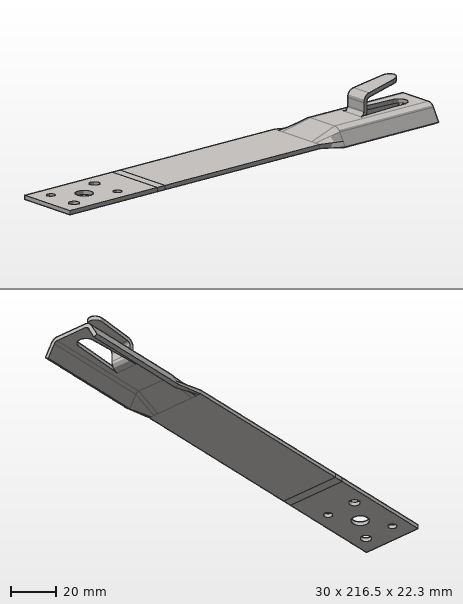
import cadquery as cq
import math

length = 216.5
width = 30.0
sheet = 2.0
head_end = length / 2
channel_length = 55.0
transition_length = 15.0
band_length = 4.5
plate_length = 51.3
channel_start = head_end - channel_length
transition_start = channel_start - transition_length
plate_end = -length / 2 + plate_length
band_end = plate_end + band_length

inner_bend = 2.0
outer_bend = inner_bend + sheet

strip_bottom = 3.2
crown_width = 16.2
crown_half_width = crown_width / 2
wall_angle = math.radians(60)
bend_end_x = crown_half_width + outer_bend * math.sin(wall_angle)
wall_length = (width / 2 - bend_end_x) / math.cos(wall_angle)
crown_z = (
    outer_bend * (1 - math.cos(wall_angle))
    + wall_length * math.sin(wall_angle)
    + sheet * math.cos(wall_angle)
)
bend_center_z = crown_z - outer_bend

wall_split_z = 3.2
crown_landing = 5.2
bend_landing = 2.8
tip_landing = 1.0

tongue_top = 22.3
tongue_tip_y = 95.3
tongue_slope = math.radians(10)
leg_front_y = 72.8
leg_width = 11.0
foot_width = 12.8
leg_half_width = leg_width / 2
foot_half_width = foot_width / 2
foot_radius = foot_half_width - leg_half_width
foot_y = leg_front_y - inner_bend

slot_width = 8.0
slot_radius = slot_width / 2
slot_tip_y = 102.2

center_hole_diameter = 8.0
large_hole_diameter = 5.0
small_hole_diameter = 4.0
pattern_y = -86.5
hole_spacing_x = 15.4
hole_spacing_y = 25.5
hole_offset_x = hole_spacing_x / 2
hole_offset_y = hole_spacing_y / 2


def strip(start, end):
    """Flat length of strap between two Y stations."""
    return cq.Workplane("XY").box(width, end - start, sheet, centered=(True, False, False)).translate(
        (0, start, strip_bottom)
    )


def bend_point(radius, angle):
    """Point on the +X channel bend, with the angle measured from straight up."""
    return (crown_half_width + radius * math.sin(angle), bend_center_z + radius * math.cos(angle))


def wall_point(radius, distance):
    """Point down the wall face that continues from a bend of the given radius."""
    x, z = bend_point(radius, wall_angle)
    return (x + distance * math.cos(wall_angle), z - distance * math.sin(wall_angle))


def mirrored(point):
    return (-point[0], point[1])


def symmetric_section(y, stations, outer_middle, inner_middle):
    """Closed section from its +X stations and the middle points of the outer and inner bends.

    The stations run from the outer crown corner around the wall tip to the inner crown corner.
    """
    outer_corner, outer_bend_end, *wall, inner_bend_end, inner_corner = stations
    section = (
        cq.Workplane("XZ", origin=(0, y, 0))
        .moveTo(*mirrored(outer_corner))
        .lineTo(*outer_corner)
        .threePointArc(outer_middle, outer_bend_end)
    )
    for point in [*wall, inner_bend_end]:
        section = section.lineTo(*point)
    section = (
        section.threePointArc(inner_middle, inner_corner)
        .lineTo(*mirrored(inner_corner))
        .threePointArc(mirrored(inner_middle), mirrored(inner_bend_end))
    )
    for point in [*reversed(wall), outer_bend_end]:
        section = section.lineTo(*mirrored(point))
    return section.threePointArc(mirrored(outer_middle), mirrored(outer_corner)).close()


def channel_section(y):
    split_distance = (bend_point(outer_bend, wall_angle)[1] - wall_split_z) / math.sin(wall_angle)
    stations = [
        bend_point(outer_bend, 0),
        bend_point(outer_bend, wall_angle),
        wall_point(outer_bend, split_distance),
        wall_point(outer_bend, wall_length),
        wall_point(inner_bend, wall_length),
        bend_point(inner_bend, wall_angle),
        bend_point(inner_bend, 0),
    ]
    outer_middle = bend_point(outer_bend, wall_angle / 2)
    inner_middle = bend_point(inner_bend, wall_angle / 2)
    return symmetric_section(y, stations, outer_middle, inner_middle)


def strip_section(y):
    """Strap rectangle whose points pair with those of the channel section."""
    edge_x = width / 2
    strip_top = strip_bottom + sheet
    crown_x = edge_x - crown_landing
    bend_x = edge_x - bend_landing
    right = [
        (crown_x, strip_top),
        (bend_x, strip_top),
        (edge_x, strip_top),
        (edge_x, strip_bottom),
        (edge_x - tip_landing, strip_bottom),
        (bend_x, strip_bottom),
        (crown_x, strip_bottom),
    ]
    left = [mirrored(point) for point in reversed(right)]
    return cq.Workplane("XZ", origin=(0, y, 0)).polyline([left[-1], *right, *left[:-1]]).close()


def transition():
    """Ruled blend from the channel section to the flat strap."""
    start = channel_section(channel_start).val()
    end = strip_section(transition_start).val()
    return cq.Workplane("XY").newObject([cq.Solid.makeLoft([start, end], True)])


def slot():
    """Round-ended cutter that widens to the leg of the tongue."""
    arc_y = slot_tip_y - slot_radius
    return (
        cq.Workplane("XY")
        .moveTo(-leg_half_width, foot_y)
        .lineTo(-slot_radius, arc_y)
        .threePointArc((0, slot_tip_y), (slot_radius, arc_y))
        .lineTo(leg_half_width, foot_y)
        .close()
        .extrude(crown_z)
    )


def tongue():
    """Bent sheet profile trimmed to a tapered, round-tipped outline."""
    upper_turn = math.pi / 2 - tongue_slope
    upper_center_y = leg_front_y + outer_bend
    tip_run = tongue_tip_y - (upper_center_y - outer_bend * math.sin(tongue_slope))
    rise = tip_run * math.tan(tongue_slope)
    upper_center_z = tongue_top - rise - outer_bend * math.cos(tongue_slope)

    def upper_point(radius, turn):
        return (upper_center_y - radius * math.cos(turn), upper_center_z + radius * math.sin(turn))

    def foot_point(radius, turn):
        return (foot_y + radius * math.sin(turn), crown_z + inner_bend - radius * math.cos(turn))

    tip_shift = sheet / math.cos(tongue_slope)
    profile = (
        cq.Workplane("YZ", origin=(-foot_half_width, 0, 0))
        .moveTo(*foot_point(inner_bend, 0))
        .threePointArc(foot_point(inner_bend, math.pi / 4), foot_point(inner_bend, math.pi / 2))
        .lineTo(*upper_point(outer_bend, 0))
        .threePointArc(upper_point(outer_bend, upper_turn / 2), upper_point(outer_bend, upper_turn))
        .lineTo(tongue_tip_y, tongue_top)
        .lineTo(tongue_tip_y, tongue_top - tip_shift)
        .lineTo(*upper_point(inner_bend, upper_turn))
        .threePointArc(upper_point(inner_bend, upper_turn / 2), upper_point(inner_bend, 0))
        .lineTo(*foot_point(outer_bend, math.pi / 2))
        .threePointArc(foot_point(outer_bend, math.pi / 4), foot_point(outer_bend, 0))
        .close()
        .extrude(2 * foot_half_width)
    )
    flare_y = foot_y + foot_radius
    flare_mid_x = foot_half_width - foot_radius * math.sin(math.pi / 4)
    flare_mid_y = flare_y - foot_radius * math.sin(math.pi / 4)
    tip_arc_y = tongue_tip_y - slot_radius
    outline = (
        cq.Workplane("XY")
        .moveTo(-foot_half_width, foot_y)
        .threePointArc((-flare_mid_x, flare_mid_y), (-leg_half_width, flare_y))
        .lineTo(-slot_radius, tip_arc_y)
        .threePointArc((0, tongue_tip_y), (slot_radius, tip_arc_y))
        .lineTo(leg_half_width, flare_y)
        .threePointArc((flare_mid_x, flare_mid_y), (foot_half_width, foot_y))
        .close()
        .extrude(tongue_top)
    )
    return profile.intersect(outline)


def hook_strap():
    """Long strap with the channel head and its tongue."""
    channel = channel_section(head_end).extrude(channel_length).cut(slot())
    return strip(band_end, transition_start).union(transition()).union(channel).union(tongue())


def middle_band():
    """Short strip between the end plate and the hook strap."""
    return strip(plate_end, band_end)


def end_plate():
    """Plate with a central hole and four fixing holes, equal sizes on opposite corners."""
    plate = strip(-length / 2, plate_end)
    holes = [(0, 0, center_hole_diameter)]
    for side in (-1, 1):
        holes.append((side * hole_offset_x, -side * hole_offset_y, large_hole_diameter))
        holes.append((side * hole_offset_x, side * hole_offset_y, small_hole_diameter))
    for x, y, diameter in holes:
        drill = cq.Workplane("XY").center(x, pattern_y + y).circle(diameter / 2).extrude(strip_bottom + sheet)
        plate = plate.cut(drill)
    return plate


result = cq.Compound.makeCompound([hook_strap().val(), middle_band().val(), end_plate().val()])